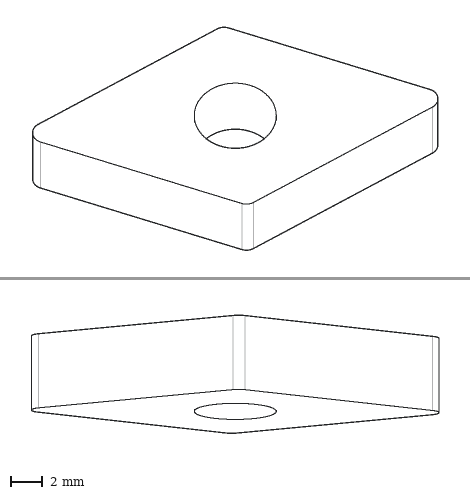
import cadquery as cq
import math

inscribed_diameter = 12.7
thickness = 4.76
point_angle = math.radians(55)
corner_radius = 0.8
hole_diameter = 5.16

side_length = inscribed_diameter / math.sin(point_angle)
side_run = side_length * math.cos(point_angle)
half_height = inscribed_diameter / 2
long_corner_x = (side_length + side_run) / 2
short_corner_x = (side_length - side_run) / 2


def rounded_rhombus():
    """Rhombic plate centred on the Z axis with all four upright edges rounded."""
    corners = [
        (-long_corner_x, -half_height),
        (short_corner_x, -half_height),
        (long_corner_x, half_height),
        (-short_corner_x, half_height),
    ]
    plate = cq.Workplane("XY").polyline(corners).close().extrude(thickness)
    return plate.edges("|Z").fillet(corner_radius)


def clamping_hole():
    """Cylinder that is removed through the middle of the plate."""
    return cq.Workplane("XY").circle(hole_diameter / 2).extrude(thickness)


result = rounded_rhombus().cut(clamping_hole())